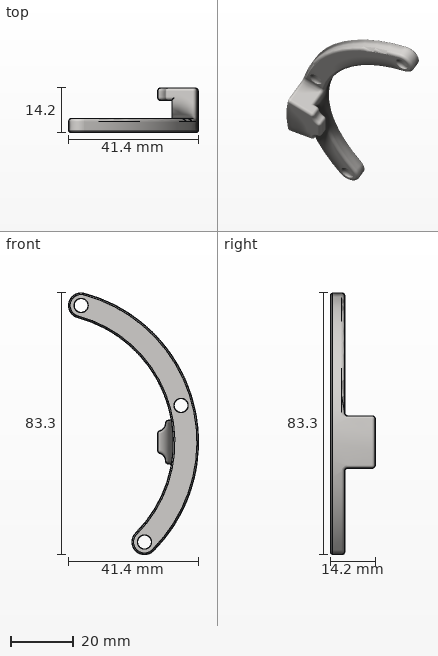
import cadquery as cq
import math

bar_radius = 45.0
bar_width = 8.0
bar_thickness = 4.5
hole_diameter = 4.4
hole_angles = (75.0, 15.0, -45.0)
inner_radius = bar_radius - bar_width / 2
outer_radius = bar_radius + bar_width / 2

overall_depth = 14.2
block_half_angle = 10.0
lip_thickness = 4.0
lip_front = overall_depth - lip_thickness
lip_tip_x = 36.0
lip_notch_radius = 2.5
lip_notch_z = 6.0

edge_radius = 1.0
front_chamfer = 0.5
tolerance = 0.01


def polar(radius, angle):
    """Point (x, z) at a radius and an angle in degrees above the +X axis."""
    return (radius * math.cos(math.radians(angle)), radius * math.sin(math.radians(angle)))


def beyond(point, distance, angle):
    """Point at a distance from another point, in the direction of an angle in degrees."""
    step = polar(distance, angle)
    return (point[0] + step[0], point[1] + step[1])


def front_plane(depth):
    """Sketch plane with local axes X and Z, at the given distance behind the front face."""
    return cq.Workplane("XZ", origin=(0, depth, 0))


def make_bar():
    """Constant-width arc with a round end about each outermost hole."""
    top = max(hole_angles)
    bottom = min(hole_angles)
    middle = (top + bottom) / 2
    end_radius = bar_width / 2
    top_tip = beyond(polar(bar_radius, top), end_radius, top + 90)
    bottom_tip = beyond(polar(bar_radius, bottom), end_radius, bottom - 90)
    return (
        front_plane(0)
        .moveTo(*polar(outer_radius, bottom))
        .threePointArc(polar(outer_radius, middle), polar(outer_radius, top))
        .threePointArc(top_tip, polar(inner_radius, top))
        .threePointArc(polar(inner_radius, middle), polar(inner_radius, bottom))
        .threePointArc(bottom_tip, polar(outer_radius, bottom))
        .close()
        .extrude(-bar_thickness)
    )


def make_block():
    """Sector of the bar's ring, reaching from the front face to the full depth."""
    upper = block_half_angle
    lower = -block_half_angle
    return (
        front_plane(0)
        .moveTo(*polar(outer_radius, lower))
        .threePointArc((outer_radius, 0), polar(outer_radius, upper))
        .lineTo(*polar(inner_radius, upper))
        .threePointArc((inner_radius, 0), polar(inner_radius, lower))
        .close()
        .extrude(-overall_depth)
    )


def make_lip():
    """Lip at the back of the block, narrowed towards its tip by a round notch on each side."""
    root_x, root_z = polar(bar_radius, block_half_angle)
    tip_z = lip_tip_x * math.tan(math.radians(block_half_angle))
    lip = (
        front_plane(lip_front)
        .moveTo(lip_tip_x, -tip_z)
        .lineTo(root_x, -root_z)
        .lineTo(root_x, root_z)
        .lineTo(lip_tip_x, tip_z)
        .close()
        .extrude(-lip_thickness)
    )
    notches = (
        front_plane(lip_front)
        .pushPoints([(lip_tip_x, lip_notch_z), (lip_tip_x, -lip_notch_z)])
        .circle(lip_notch_radius)
        .extrude(-lip_thickness)
    )
    return lip.cut(notches)


def ends_on_inner_arc(edge):
    """True when both ends of the edge lie on the inner surface of the ring."""
    ends = (edge.startPoint(), edge.endPoint())
    return all(abs(math.hypot(end.x, end.z) - inner_radius) < tolerance for end in ends)


def is_rounded(edge):
    """True for every edge behind the front face, except the sharp corner under the lip."""
    box = edge.BoundingBox()
    on_front = box.ymin < tolerance
    on_lip_front = max(abs(y - lip_front) for y in (box.ymin, box.ymax)) < tolerance
    return not on_front and not (on_lip_front and ends_on_inner_arc(edge))


def round_edges(body):
    """Fillet the back and side edges, including where the block meets the bar."""
    edges = [edge for edge in body.edges().vals() if is_rounded(edge)]
    return body.newObject(edges).fillet(edge_radius)


def drill_holes(body):
    """Cut the screw holes through the bar."""
    centers = [polar(bar_radius, angle) for angle in hole_angles]
    holes = front_plane(0).pushPoints(centers).circle(hole_diameter / 2).extrude(-bar_thickness)
    return body.cut(holes)


body = make_bar().union(make_block()).union(make_lip()).clean()
body = round_edges(body)
body = body.faces("<Y").edges().chamfer(front_chamfer)
result = drill_holes(body)